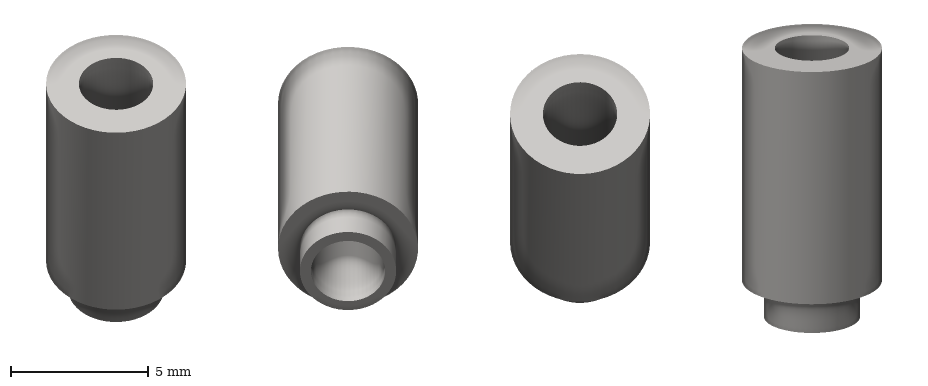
import cadquery as cq

total_height = 10.4
body_height = 9.0
body_diameter = 5.1
spigot_diameter = 3.5
bore_diameter = 2.7

spigot_height = total_height - body_height

spigot = cq.Workplane("XY").circle(spigot_diameter / 2).extrude(spigot_height)

body = (
    cq.Workplane("XY")
    .workplane(offset=spigot_height)
    .circle(body_diameter / 2)
    .extrude(body_height)
)

bore = cq.Workplane("XY").circle(bore_diameter / 2).extrude(total_height)

result = spigot.union(body).cut(bore)